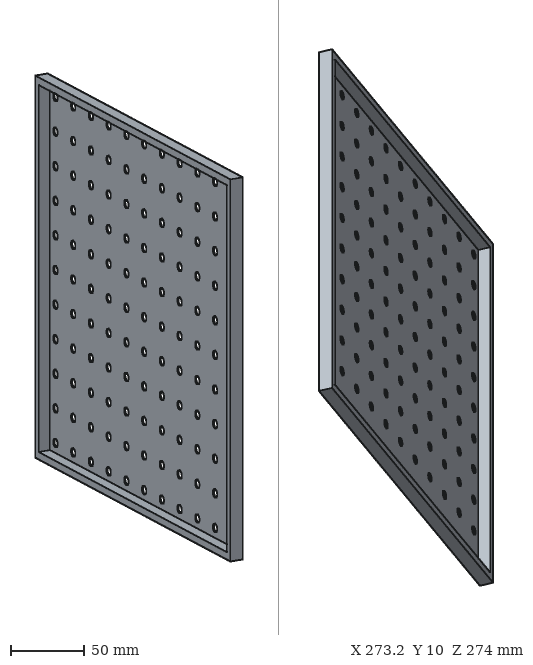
import cadquery as cq

width = 273.2
depth = 10.0
height = 274.0

recess_side = 263.0
plate_thickness = 1.01
recess_depth = depth - plate_thickness

holes_per_side = 11
grid_span = 248.0
hole_pitch = grid_span / (holes_per_side - 1)
hole_diameter = 6.0
grid_drop = 0.4


def front_plane():
    """Workplane on the -Y face, with its normal pointing out along -Y."""
    return cq.Workplane("XZ", origin=(0, -depth / 2, 0))


def rimmed_tray():
    block = cq.Workplane("XY").box(width, depth, height)
    recess = front_plane().rect(recess_side, recess_side).extrude(-recess_depth)
    return block.cut(recess)


def hole_grid():
    return (
        front_plane()
        .center(0, -grid_drop)
        .rarray(hole_pitch, hole_pitch, holes_per_side, holes_per_side)
        .circle(hole_diameter / 2)
        .extrude(-depth)
    )


result = rimmed_tray().cut(hole_grid())